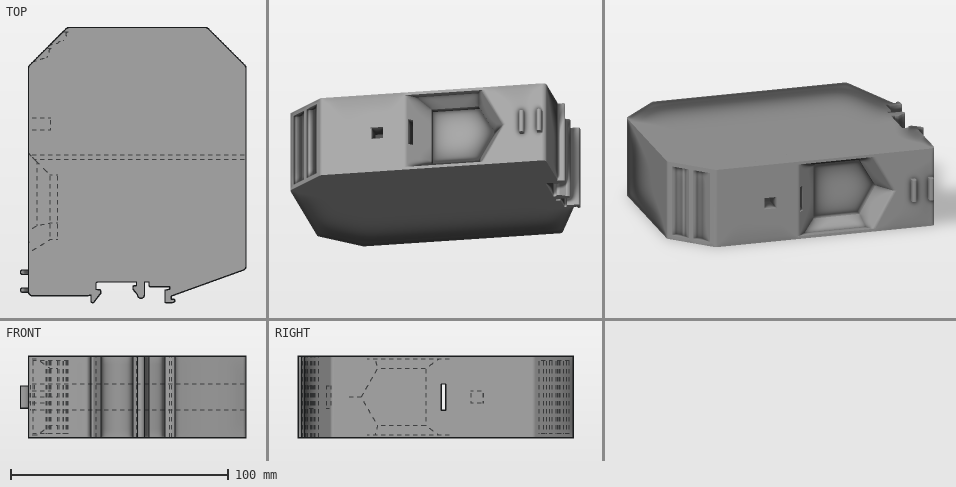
import cadquery as cq
import math

LENGTH = 126.7
WIDTH = 100.2
HEIGHT = 37.6
BASE_Y = 3.2
CORNER_CUT = 18.0
SKIRT_START = (65.8, 3.0)
SKIRT_RIGHT_Y = 15.5
CORNER_R = 2.0
RAMP_LENGTH = 1.5
RAMP_RISE = 0.4

RECESS_Y = 9.5
RECESS_LEFT_X = 31.2
RECESS_STEP_X = 55.5
STEP_Y = 7.3
RECESS_RIGHT_X = 65.0
RECESS_R = 0.6
FIXED_HOOK_X = 28.8
FIXED_HOOK_NOSE_X = 33.3
FIXED_HOOK_NOSE_Y = 6.0
FIXED_HOOK_SHOULDER_Y = 6.2
FIXED_HOOK_TIP_R = 0.82
FIXED_HOOK_SLOPE = math.radians(52.5)
SPRING_LEFT_X = 49.7
SPRING_RIGHT_X = 53.5
SPRING_TIP_Y = 2.0
SPRING_TIP_R = 1.6
SPRING_NOSE_X = 48.1
SPRING_NOSE_TOP_Y = 7.9
SPRING_NOSE_LOW_Y = 6.2
FOOT_LEFT_X = 62.8
FOOT_TOP_Y = 5.8
FOOT_ROOT_Y = 6.3
FOOT_SOLE_END_X = 66.1
TOE_X = 67.4
TOE_LOW_Y = 0.4
TOE_TOP_Y = 1.6
CLIP_EDGE_R = 0.5

PIN_LENGTH = 3.7
PIN_THICKNESS = 2.2
PIN_HEIGHT = 10.4
PIN_ROOT_X = 2.0
PIN_CENTRES_Y = (5.8, 14.1)

POCKET_HALF_HEIGHT = 17.5
POCKET_MOUTH_Y = 68.8
POCKET_MOUTH_TIP_Y = 22.9
FLOOR_HALF_HEIGHT = 13.2
FLOOR_TIP_Y = 29.0
STRAIGHT_DEPTH = 4.0
FUNNEL_DEPTH = 10.0
POCKET_DEPTH = 13.4
TIP_SLOPE = math.tan(math.radians(30))
FLOOR_SIDE_Y = POCKET_MOUTH_Y - FUNNEL_DEPTH
SIDE_LIP_R = 2.0
TIP_LIP_R = 1.5

SLOT_TOP_Y = 67.9
SLOT_WIDTH = 2.0
SLOT_HEIGHT = 12.0

SOCKET_BOTTOM_Y = 79.6
SOCKET_SIZE = 5.5
SOCKET_DEPTH = 10.1
SOCKET_STEP = 0.4
SOCKET_STEP_DEPTH = 0.8

WINDOW_HEIGHT = 33.6
WINDOW_SPAN = 6.1
RIB_END = (2.3, 0)
RIB_MIDDLE = (1.5, 0.5)
RIB_FOOT = (1.3, 1.3)
GROOVE_BOTTOM = (1.8, 2.5)
RAMP_START = (0.3, 4.0)
LEDGE_START = (-1.8, 4.5)
LEDGE_END = (-2.5, 5.3)
WINDOWS = ((124.7, True), (117.0, False))


def prism(points, height=HEIGHT):
    """Extrude an XY outline symmetrically about the middle plane."""
    return cq.Workplane("XY").polyline(points).close().extrude(height / 2, both=True)


def near(x, y):
    """Select the edges parallel to Z that pass through (x, y)."""
    reach = 0.06
    return cq.selectors.BoxSelector(
        (x - reach, y - reach, -HEIGHT), (x + reach, y + reach, HEIGHT)
    ) & cq.selectors.ParallelDirSelector(cq.Vector(0, 0, 1))


def round_corners(solid, corners, radius):
    for x, y in corners:
        solid = solid.edges(near(x, y)).fillet(radius)
    return solid


def body():
    lower_left = (0, BASE_Y)
    lower_right = (WIDTH, SKIRT_RIGHT_Y)
    upper = [
        (WIDTH, LENGTH - CORNER_CUT),
        (WIDTH - CORNER_CUT, LENGTH),
        (CORNER_CUT, LENGTH),
        (0, LENGTH - CORNER_CUT),
    ]
    recess_corner = (RECESS_LEFT_X, RECESS_Y)
    step_corner = (RECESS_STEP_X, STEP_Y)
    outline = [
        lower_left,
        (FIXED_HOOK_X - RAMP_LENGTH, BASE_Y),
        (FIXED_HOOK_X, BASE_Y + RAMP_RISE),
        (RECESS_LEFT_X, BASE_Y + RAMP_RISE),
        recess_corner,
        (RECESS_STEP_X, RECESS_Y),
        step_corner,
        (RECESS_RIGHT_X, STEP_Y),
        (RECESS_RIGHT_X, SKIRT_START[1]),
        SKIRT_START,
        lower_right,
    ] + upper
    solid = prism(outline)
    solid = round_corners(solid, [lower_left, lower_right] + upper, CORNER_R)
    return round_corners(solid, [recess_corner, step_corner], RECESS_R)


def fixed_hook():
    centre_x = FIXED_HOOK_X + FIXED_HOOK_TIP_R
    ramp_x = centre_x + FIXED_HOOK_TIP_R * math.sin(FIXED_HOOK_SLOPE)
    ramp_y = FIXED_HOOK_TIP_R * (1 - math.cos(FIXED_HOOK_SLOPE))
    ramp_top_y = ramp_y + (FIXED_HOOK_NOSE_X - ramp_x) * math.tan(FIXED_HOOK_SLOPE)
    nose = (FIXED_HOOK_NOSE_X, FIXED_HOOK_NOSE_Y)
    hook = (
        cq.Workplane("XY")
        .moveTo(FIXED_HOOK_X, FIXED_HOOK_TIP_R)
        .threePointArc((centre_x, 0), (ramp_x, ramp_y))
        .lineTo(FIXED_HOOK_NOSE_X, ramp_top_y)
        .lineTo(*nose)
        .lineTo(RECESS_LEFT_X, FIXED_HOOK_SHOULDER_Y)
        .lineTo(FIXED_HOOK_X, FIXED_HOOK_SHOULDER_Y)
        .close()
        .extrude(HEIGHT / 2, both=True)
    )
    return round_corners(hook, [nose], CLIP_EDGE_R)


def spring_hook():
    tip_left_x = SPRING_RIGHT_X - 2 * SPRING_TIP_R
    tip_start_y = SPRING_TIP_Y + SPRING_TIP_R
    nose = (SPRING_NOSE_X, SPRING_NOSE_TOP_Y)
    hook = (
        cq.Workplane("XY")
        .moveTo(SPRING_LEFT_X, RECESS_Y)
        .lineTo(SPRING_LEFT_X, SPRING_NOSE_TOP_Y)
        .lineTo(*nose)
        .lineTo(SPRING_NOSE_X, SPRING_NOSE_LOW_Y)
        .lineTo(tip_left_x, tip_start_y)
        .threePointArc((tip_left_x + SPRING_TIP_R, SPRING_TIP_Y), (SPRING_RIGHT_X, tip_start_y))
        .lineTo(SPRING_RIGHT_X, RECESS_Y)
        .close()
        .extrude(HEIGHT / 2, both=True)
    )
    return round_corners(hook, [nose], CLIP_EDGE_R)


def release_foot():
    heel = (FOOT_LEFT_X, 0)
    toe_low = (TOE_X, TOE_LOW_Y)
    toe_high = (TOE_X, TOE_TOP_Y)
    outline = [
        heel,
        (FOOT_SOLE_END_X, 0),
        toe_low,
        toe_high,
        (SKIRT_START[0], TOE_TOP_Y),
        SKIRT_START,
        (SKIRT_START[0], FOOT_ROOT_Y),
        (RECESS_RIGHT_X, FOOT_ROOT_Y),
        (FOOT_LEFT_X, FOOT_TOP_Y),
    ]
    return round_corners(prism(outline), [heel, toe_low, toe_high], CLIP_EDGE_R)


def pin(centre_y):
    """Blade with a full round tip, rooted inside the body."""
    tip_r = PIN_THICKNESS / 2
    arc_x = tip_r - PIN_LENGTH
    return (
        cq.Workplane("XY")
        .moveTo(PIN_ROOT_X, centre_y + tip_r)
        .lineTo(arc_x, centre_y + tip_r)
        .threePointArc((-PIN_LENGTH, centre_y), (arc_x, centre_y - tip_r))
        .lineTo(PIN_ROOT_X, centre_y - tip_r)
        .close()
        .extrude(PIN_HEIGHT / 2, both=True)
    )


def pentagon(depth, side_y, tip_y, half_height):
    """Pocket section at a depth: flat on its +Y side, pointed towards -Y."""
    shoulder_y = tip_y + TIP_SLOPE * half_height
    corners = [
        (side_y, -half_height),
        (side_y, half_height),
        (shoulder_y, half_height),
        (tip_y, 0),
        (shoulder_y, -half_height),
    ]
    return cq.Wire.makePolygon([cq.Vector(depth, y, z) for y, z in corners], close=True)


def pocket():
    flare = (POCKET_HALF_HEIGHT - FLOOR_HALF_HEIGHT) / (FUNNEL_DEPTH - STRAIGHT_DEPTH)
    mouth_half_height = FLOOR_HALF_HEIGHT + flare * FUNNEL_DEPTH
    mouth = pentagon(0, POCKET_MOUTH_Y, POCKET_MOUTH_TIP_Y, mouth_half_height)
    floor = pentagon(FUNNEL_DEPTH, FLOOR_SIDE_Y, FLOOR_TIP_Y, FLOOR_HALF_HEIGHT)
    funnel = cq.Workplane(obj=cq.Solid.makeLoft([mouth, floor], True))
    straight_walls = cq.Workplane("XY").box(WIDTH, 2 * LENGTH, 2 * POCKET_HALF_HEIGHT)
    well = cq.Solid.extrudeLinear(floor, [], cq.Vector(POCKET_DEPTH - FUNNEL_DEPTH, 0, 0))
    return funnel.intersect(straight_walls).union(cq.Workplane(obj=well))


def round_pocket_lip(solid):
    """Round the mouth edges of the +Y side and of the two slanted tip walls."""
    shoulder_y = POCKET_MOUTH_TIP_Y + TIP_SLOPE * POCKET_HALF_HEIGHT
    middle_z = POCKET_HALF_HEIGHT / 2
    tip_middle_y = (shoulder_y + POCKET_MOUTH_TIP_Y) / 2
    side_point = (0, POCKET_MOUTH_Y, 0)
    upper_point = (0, tip_middle_y, middle_z)
    lower_point = (0, tip_middle_y, -middle_z)
    nearest = cq.selectors.NearestToPointSelector
    solid = solid.edges(nearest(side_point)).fillet(SIDE_LIP_R)
    return solid.edges(nearest(upper_point) + nearest(lower_point)).fillet(TIP_LIP_R)


def box_from_face(depth, low_y, high_y, height):
    """Block that starts at the left face and runs inwards."""
    block = cq.Workplane("XY").box(depth, high_y - low_y, height)
    return block.translate((depth / 2, (low_y + high_y) / 2, 0))


def slot():
    return box_from_face(WIDTH, SLOT_TOP_Y - SLOT_WIDTH, SLOT_TOP_Y, SLOT_HEIGHT)


def socket():
    top_y = SOCKET_BOTTOM_Y + SOCKET_SIZE
    hole = box_from_face(SOCKET_DEPTH, SOCKET_BOTTOM_Y, top_y, SOCKET_SIZE)
    mouth = box_from_face(SOCKET_STEP_DEPTH, SOCKET_BOTTOM_Y, top_y + SOCKET_STEP, SOCKET_SIZE)
    return hole.union(mouth)


def terminal_window(top_y, has_ledge):
    """Cut with a rounded rib at its +Y end, a groove, and a steep ramp back to the mouth."""
    top_x = CORNER_CUT - (LENGTH - top_y)

    def at(offset):
        return (top_x + offset[0], top_y - offset[1])

    cut = (
        cq.Workplane("XY", origin=(0, 0, -WINDOW_HEIGHT / 2))
        .moveTo(top_x, top_y)
        .lineTo(*at(RIB_END))
        .threePointArc(at(RIB_MIDDLE), at(RIB_FOOT))
        .lineTo(*at(GROOVE_BOTTOM))
        .lineTo(*at(RAMP_START))
    )
    if has_ledge:
        cut = cut.lineTo(*at(LEDGE_START)).lineTo(*at(LEDGE_END))
    return cut.lineTo(top_x - WINDOW_SPAN, top_y - WINDOW_SPAN).close().extrude(WINDOW_HEIGHT)


result = body().union(fixed_hook()).union(spring_hook()).union(release_foot())
result = round_pocket_lip(result.cut(pocket()))
for pin_y in PIN_CENTRES_Y:
    result = result.union(pin(pin_y))
result = result.cut(slot()).cut(socket())
for window_y, ledge in WINDOWS:
    result = result.cut(terminal_window(window_y, ledge))